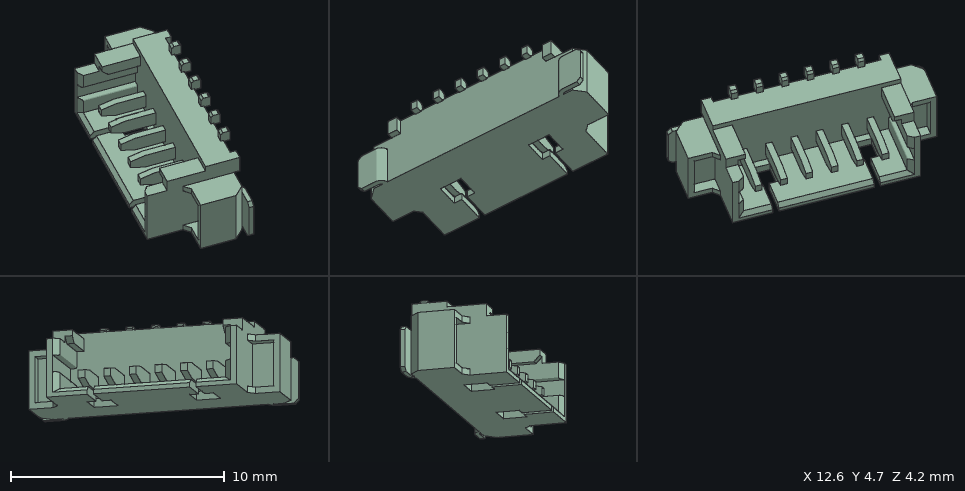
import cadquery as cq


BODY_WIDTH = 9.29
WALL = 0.3
SIDE_HEIGHT = 2.82
ROOF_HEIGHT = 3.7
BODY_BACK = 4.38
CAVITY_DEPTH = 2.93
FLOOR = 0.42
BODY_SIDE = BODY_WIDTH / 2
RECESS_SIDE = BODY_SIDE - WALL
CAVITY_SIDE = RECESS_SIDE - WALL

RECESS_BOTTOM = 1.21
RECESS_TOP = 2.01
RECESS_EDGE_RADIUS = 0.09

MOUTH_BEVEL_DEPTH = 0.2
MOUTH_LIP = 0.22

HOOK_FRONT = 1.0
HOOK_WIDTH = 0.96
HOOK_TOP = 3.42

TAB_WIDTH = 0.5
TAB_BACK = 4.67

PIN_COUNT = 6
PIN_PITCH = 1.25
PIN_WIDTH = 0.33
PIN_BOTTOM = 0.77
PIN_TOP = 1.52
PIN_TIP_BOTTOM = 0.99
PIN_TIP_TOP = 1.37
PIN_TIP = 0.68
PIN_TAPER_END = 1.4
TAIL_FRONT = 4.23
TAIL_BOTTOM = 3.62
TAIL_TOP = 4.2
TAIL_FRONT_BEVEL = 0.11
TAIL_BACK_BEVEL = 0.09
TAIL_BACK_BEVEL_HEIGHT = 0.08
BOARD_PLANE = 4.7

WINDOW_FRONT = 1.45
WINDOW_BACK = 2.59
WINDOW_WIDTH = 1.16
SLIT_WIDTH = 0.3
OPENING_X = (PIN_COUNT / 2 - 1) * PIN_PITCH

WING_SIDE = 6.14
WING_FRONT = 2.1
WING_BEVEL = 0.49
POCKET_BACK = 2.6

SOLDER_SIDE = 6.32
SOLDER_HEIGHT = 2.2
SOLDER_THICKNESS = 0.24
SOLDER_BEVEL = 0.2
BEND_START = 5.34
BEND_RADIUS = 0.49


def block(x_range, y_range, z_range):
    """Box spanning the given (low, high) ranges."""
    size = [high - low for low, high in (x_range, y_range, z_range)]
    corner = (x_range[0], y_range[0], z_range[0])
    return cq.Workplane("XY").box(*size, centered=False).translate(corner)


def side_profile(points, x_low, width):
    """Extrude a closed (Y, Z) outline along +X."""
    return cq.Workplane("YZ", origin=(x_low, 0, 0)).polyline(points).close().extrude(width)


def make_shell():
    """Housing with roof, cavity and grooved side walls."""
    shell = block((-BODY_SIDE, BODY_SIDE), (0, BODY_BACK), (0, SIDE_HEIGHT))
    shell = shell.union(
        block((-BODY_SIDE, BODY_SIDE), (CAVITY_DEPTH, BODY_BACK), (0, ROOF_HEIGHT))
    )
    shell = shell.cut(
        block((-CAVITY_SIDE, CAVITY_SIDE), (0, CAVITY_DEPTH), (FLOOR, ROOF_HEIGHT))
    )
    shell = shell.cut(
        block((-RECESS_SIDE, RECESS_SIDE), (0, CAVITY_DEPTH), (RECESS_BOTTOM, RECESS_TOP))
    )
    for x in (-CAVITY_SIDE, CAVITY_SIDE):
        for z in (RECESS_BOTTOM, RECESS_TOP):
            edge = cq.selectors.NearestToPointSelector((x, CAVITY_DEPTH / 2, z))
            shell = shell.edges(edge).fillet(RECESS_EDGE_RADIUS)
    return shell.cut(make_mouth_bevel())


def make_mouth_bevel():
    """Tapered cutter that widens the cavity at the sides and floor."""
    def opening(half_width, bottom):
        return [
            (-half_width, bottom),
            (half_width, bottom),
            (half_width, ROOF_HEIGHT),
            (-half_width, ROOF_HEIGHT),
        ]

    return (
        cq.Workplane("XZ")
        .polyline(opening(RECESS_SIDE, MOUTH_LIP)).close()
        .workplane(offset=-MOUTH_BEVEL_DEPTH)
        .polyline(opening(CAVITY_SIDE, FLOOR)).close()
        .loft(ruled=True, combine=True)
    )


def make_floor_opening(x):
    """Window through the floor with a slit leading to the mouth."""
    window = block(
        (x - WINDOW_WIDTH / 2, x + WINDOW_WIDTH / 2), (WINDOW_FRONT, WINDOW_BACK), (0, FLOOR)
    )
    slit = block((x - SLIT_WIDTH / 2, x + SLIT_WIDTH / 2), (0, WINDOW_FRONT), (0, FLOOR))
    return window.union(slit)


def make_hook():
    """Left hook; its overhang has a bevelled lower front edge."""
    hook = block(
        (-BODY_SIDE, -BODY_SIDE + HOOK_WIDTH), (HOOK_FRONT, CAVITY_DEPTH), (SIDE_HEIGHT, HOOK_TOP)
    )
    bevel = [
        (HOOK_FRONT, SIDE_HEIGHT),
        (HOOK_FRONT + WALL, SIDE_HEIGHT),
        (HOOK_FRONT, SIDE_HEIGHT + WALL),
    ]
    return hook.cut(side_profile(bevel, -CAVITY_SIDE, HOOK_WIDTH))


def make_back_tab():
    """Left stand-off tab behind the roof."""
    return block(
        (-BODY_SIDE, -BODY_SIDE + TAB_WIDTH), (CAVITY_DEPTH, TAB_BACK), (SIDE_HEIGHT, ROOF_HEIGHT)
    )


def make_wing():
    """Left wing with its front pocket and sloped webs to the housing."""
    outline = [
        (-BODY_SIDE, BODY_BACK),
        (-WING_SIDE + WING_BEVEL, BODY_BACK),
        (-WING_SIDE, BODY_BACK - WING_BEVEL),
        (-WING_SIDE, WING_FRONT),
        (-BODY_SIDE - WALL, WING_FRONT),
        (-BODY_SIDE, WING_FRONT - WALL),
    ]
    wing = cq.Workplane("XY").polyline(outline).close().extrude(SIDE_HEIGHT)
    pocket = block((-WING_SIDE + WALL, -BODY_SIDE), (0, POCKET_BACK), (WALL, SIDE_HEIGHT - WALL))
    return wing.cut(pocket)


def make_solder_tab():
    """Left solder tab: a flat plate on the board plane, bent a quarter turn into the wing."""
    bend_y = BOARD_PLANE - BEND_RADIUS
    inner_radius = BEND_RADIUS - SOLDER_THICKNESS
    tab = (
        cq.Workplane("XY")
        .moveTo(-SOLDER_SIDE, BOARD_PLANE)
        .lineTo(-BEND_START, BOARD_PLANE)
        .radiusArc((-BEND_START + BEND_RADIUS, bend_y), BEND_RADIUS)
        .lineTo(-BEND_START + inner_radius, bend_y)
        .radiusArc((-BEND_START, bend_y + inner_radius), -inner_radius)
        .lineTo(-SOLDER_SIDE, bend_y + inner_radius)
        .close()
        .extrude(SOLDER_HEIGHT)
    )
    return tab.faces("<X").edges("|Y").chamfer(SOLDER_BEVEL)


def make_pin(x):
    """Tapered contact blade in the cavity and its solder tail above the roof."""
    blade = [
        (CAVITY_DEPTH, PIN_BOTTOM),
        (PIN_TAPER_END, PIN_BOTTOM),
        (PIN_TIP, PIN_TIP_BOTTOM),
        (PIN_TIP, PIN_TIP_TOP),
        (PIN_TAPER_END, PIN_TOP),
        (CAVITY_DEPTH, PIN_TOP),
    ]
    tail = [
        (TAIL_FRONT, TAIL_BOTTOM),
        (BOARD_PLANE, TAIL_BOTTOM),
        (BOARD_PLANE, TAIL_TOP - TAIL_BACK_BEVEL_HEIGHT),
        (BOARD_PLANE - TAIL_BACK_BEVEL, TAIL_TOP),
        (TAIL_FRONT + TAIL_FRONT_BEVEL, TAIL_TOP),
        (TAIL_FRONT, TAIL_TOP - TAIL_FRONT_BEVEL),
    ]
    left = x - PIN_WIDTH / 2
    return side_profile(blade, left, PIN_WIDTH).union(side_profile(tail, left, PIN_WIDTH))


result = make_shell()

for opening_x in (-OPENING_X, OPENING_X):
    result = result.cut(make_floor_opening(opening_x))

for left_part in (make_hook(), make_back_tab(), make_wing(), make_solder_tab()):
    result = result.union(left_part).union(left_part.mirror("YZ"))

for index in range(PIN_COUNT):
    result = result.union(make_pin((index - (PIN_COUNT - 1) / 2) * PIN_PITCH))